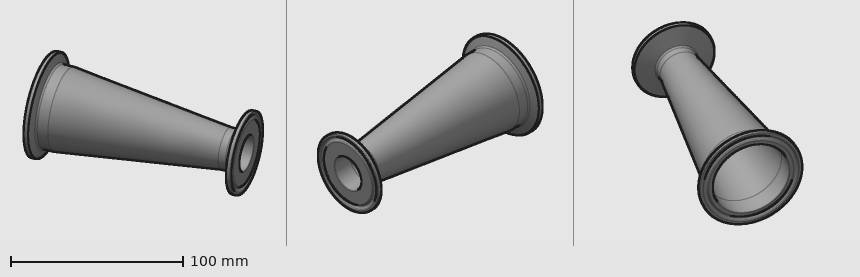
import math

import cadquery as cq

total_length = 127.0
ferrule_length = 12.7
large_tube_diameter = 50.8
small_tube_diameter = 25.4
small_bore_diameter = 22.1
wall = (small_tube_diameter - small_bore_diameter) / 2

large_rim_diameter = 63.91
small_rim_diameter = 50.39
rim_thickness = 2.9
rim_back_land = 0.4
back_angle = math.radians(20)
neck_fillet_radius = 1.3
edge_radius = 0.3

large_groove_diameter = 56.3
small_groove_diameter = 43.6
groove_half_width = 1.65
groove_floor_half_width = 1.2
groove_depth = 1.5
groove_flank_depth = groove_depth / 2


def revolve_about_x(outline):
    """Turn a closed outline in the XY plane about the part axis."""
    return outline.revolve(360, (0, 0, 0), (1, 0, 0))


def circles_at(x, radius):
    """Select the circular edges at X = x that are no larger than the given radius."""
    margin = 0.05
    reach = radius + margin
    return cq.selectors.BoxSelector(
        (x - margin, -reach, -reach),
        (x + margin, reach, reach),
        boundingbox=True,
    )


def gasket_groove(mean_diameter):
    """Ring with sloping flanks and a rounded floor, opening at X = 0."""
    mean_radius = mean_diameter / 2
    outline = (
        cq.Workplane("XY")
        .moveTo(0, mean_radius - groove_half_width)
        .lineTo(groove_flank_depth, mean_radius - groove_floor_half_width)
        .threePointArc(
            (groove_depth, mean_radius),
            (groove_flank_depth, mean_radius + groove_floor_half_width),
        )
        .lineTo(0, mean_radius + groove_half_width)
        .close()
    )
    return revolve_about_x(outline)


def ferrule(tube_diameter, rim_diameter, groove_diameter):
    """Clamp ferrule with its end face at X = 0 and its tube toward +X."""
    tube_radius = tube_diameter / 2
    bore_radius = tube_radius - wall
    rim_radius = rim_diameter / 2
    back_radius = rim_radius - rim_back_land
    neck_x = rim_thickness + (back_radius - tube_radius) * math.tan(back_angle)
    outline = (
        cq.Workplane("XY")
        .moveTo(0, bore_radius)
        .lineTo(0, rim_radius)
        .lineTo(rim_thickness, rim_radius)
        .lineTo(rim_thickness, back_radius)
        .lineTo(neck_x, tube_radius)
        .lineTo(ferrule_length, tube_radius)
        .lineTo(ferrule_length, bore_radius)
        .close()
    )
    body = revolve_about_x(outline)
    body = body.edges(circles_at(neck_x, tube_radius)).fillet(neck_fillet_radius)
    rim_back_edge = circles_at(rim_thickness, rim_radius) - circles_at(rim_thickness, back_radius)
    body = body.edges(rim_back_edge).fillet(edge_radius)
    body = body.cut(gasket_groove(groove_diameter))
    return body.faces("<X").edges().fillet(edge_radius)


def reducer_cone():
    """Hollow cone joining the two ferrule tubes."""
    start_x = ferrule_length
    end_x = total_length - ferrule_length
    large_radius = large_tube_diameter / 2
    small_radius = small_tube_diameter / 2
    outline = (
        cq.Workplane("XY")
        .moveTo(start_x, large_radius - wall)
        .lineTo(start_x, large_radius)
        .lineTo(end_x, small_radius)
        .lineTo(end_x, small_radius - wall)
        .close()
    )
    return revolve_about_x(outline)


large_ferrule = ferrule(large_tube_diameter, large_rim_diameter, large_groove_diameter)
small_ferrule = (
    ferrule(small_tube_diameter, small_rim_diameter, small_groove_diameter)
    .mirror("YZ")
    .translate((total_length, 0, 0))
)
result = large_ferrule.union(reducer_cone()).union(small_ferrule)